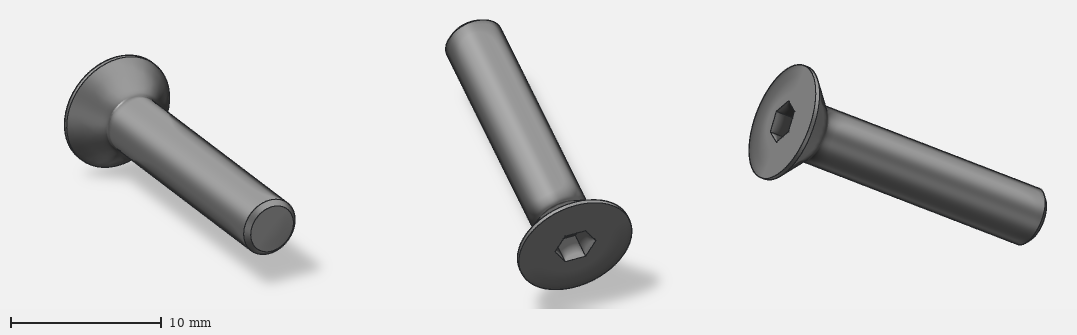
import cadquery as cq

length = 20.0
head_radius = 4.0
shank_radius = 2.0
rim_thickness = 0.3
neck_fillet = 0.2
tip_chamfer = 0.35
socket_across_flats = 2.5
socket_depth = 2.0
flat_alignment_angle = 30

cone_end = rim_thickness + head_radius - shank_radius


def make_body():
    """Revolve the half profile; sketch X is the axis and sketch Y the radius."""
    body = (
        cq.Workplane("XZ")
        .lineTo(0, head_radius)
        .lineTo(rim_thickness, head_radius)
        .lineTo(cone_end, shank_radius)
        .lineTo(length - tip_chamfer, shank_radius)
        .lineTo(length, shank_radius - tip_chamfer)
        .lineTo(length, 0)
        .close()
        .revolve(360, (0, 0, 0), (1, 0, 0))
    )
    neck_edge = cq.selectors.NearestToPointSelector((cone_end, 0, 0))
    return body.edges("%CIRCLE").edges(neck_edge).fillet(neck_fillet)


def make_socket():
    """Hexagonal key socket with two flats facing up and down."""
    return (
        cq.Workplane("YZ")
        .polygon(6, socket_across_flats, circumscribed=True)
        .extrude(socket_depth)
        .rotate((0, 0, 0), (1, 0, 0), flat_alignment_angle)
    )


result = make_body().cut(make_socket())